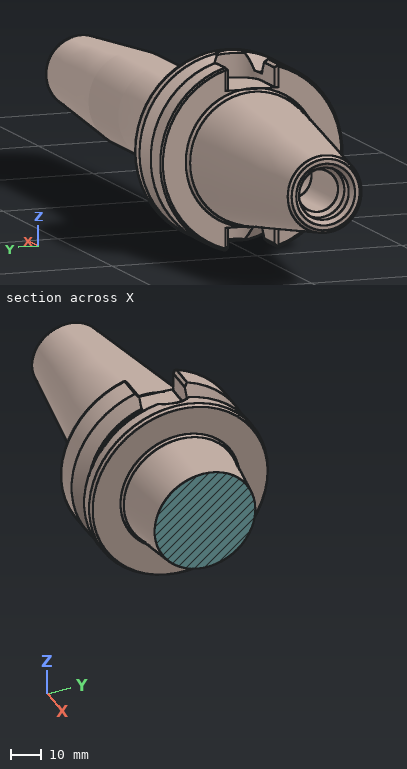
import cadquery as cq
import math

length = 225.5

taper_slope = 7 / 24 / 2
taper_start_radius = 12.6
taper_end = 64.0
taper_end_radius = taper_start_radius + taper_slope * taper_end
taper_chamfer = 1.0
collar_end = 65.8
collar_rise = 1.0

flange_start = 67.5
flange_end = 92.5
flange_diameter = 62.9
flange_radius = flange_diameter / 2
flange_start_chamfer = 0.7
flange_end_chamfer = 1.4
flange_end_chamfer_depth = 0.7
groove_center = 82.0
groove_floor_width = 3.8
groove_shelf_radius = 26.8
groove_shelf_width = 0.7
groove_radius = 26.1
groove_side_slope = math.tan(math.radians(30))
groove_shelf_run = (flange_radius - groove_shelf_radius) * groove_side_slope
groove_floor_run = (flange_radius - groove_radius) * groove_side_slope

neck_radius = 21.0
neck_step = 1.1
neck_root_radius = 20.3
nose_radius = 16.0
neck_arc_end = 147.2
nose_taper_start = 174.5
tip_radius = nose_radius - (length - nose_taper_start) * math.tan(math.radians(4.4))
tip_chamfer = 1.4
tip_chamfer_depth = 0.7

slot_width = 16.0
slot_half_width = slot_width / 2
slot_floor = 22.5
slot_tip = 88.4
slot_round_center = slot_tip - slot_half_width
slot_edge_chamfer = 1.1
slot_end_chamfer = 1.0
slot_entry_depth = 0.7
slot_clearance = 2.3
slot_height = flange_radius - slot_floor + slot_clearance

bore_mouth_radius = 10.1
counterbore_radius = 8.5
counterbore_depth = 5.6
thread_minor_radius = 7.0
bore_depth = 31.5
drill_point_depth = thread_minor_radius * math.tan(math.radians(30))


def turned_body():
    groove_left = groove_center - groove_floor_width / 2
    groove_right = groove_center + groove_floor_width / 2
    neck_start = flange_end + neck_step
    arc_run = neck_arc_end - neck_start
    arc_rise = neck_root_radius - nose_radius
    arc_radius = (arc_run**2 + arc_rise**2) / (2 * arc_rise)
    half_angle = math.asin(arc_run / arc_radius) / 2
    arc_middle = (
        neck_arc_end - arc_radius * math.sin(half_angle),
        nose_radius + arc_radius * (1 - math.cos(half_angle)),
    )
    profile = (
        cq.Workplane("XY")
        .lineTo(0, taper_start_radius - taper_chamfer)
        .lineTo(taper_chamfer, taper_start_radius + taper_slope * taper_chamfer)
        .lineTo(taper_end, taper_end_radius)
        .lineTo(collar_end, taper_end_radius)
        .lineTo(flange_start, taper_end_radius + collar_rise)
        .lineTo(flange_start, flange_radius - flange_start_chamfer)
        .lineTo(flange_start + flange_start_chamfer, flange_radius)
        .lineTo(groove_left - groove_shelf_width - groove_shelf_run, flange_radius)
        .lineTo(groove_left - groove_shelf_width, groove_shelf_radius)
        .lineTo(groove_left, groove_shelf_radius)
        .lineTo(groove_left, groove_radius)
        .lineTo(groove_right, groove_radius)
        .lineTo(groove_right + groove_floor_run, flange_radius)
        .lineTo(flange_end - flange_end_chamfer, flange_radius)
        .lineTo(flange_end, flange_radius - flange_end_chamfer_depth)
        .lineTo(flange_end, neck_radius)
        .lineTo(neck_start, neck_root_radius)
        .threePointArc(arc_middle, (neck_arc_end, nose_radius))
        .lineTo(nose_taper_start, nose_radius)
        .lineTo(length - tip_chamfer, tip_radius)
        .lineTo(length, tip_radius - tip_chamfer_depth)
        .lineTo(length, 0)
        .close()
    )
    return profile.revolve(360, (0, 0, 0), (1, 0, 0))


def drive_slot():
    """Round-ended slot at +Z, with chamfered entry, side and end edges."""
    entry_half_width = slot_half_width + slot_edge_chamfer
    pocket = (
        cq.Workplane("XY", origin=(0, 0, slot_floor))
        .moveTo(flange_start, -entry_half_width)
        .lineTo(flange_start + slot_entry_depth, -slot_half_width)
        .lineTo(slot_round_center, -slot_half_width)
        .threePointArc((slot_tip, 0), (slot_round_center, slot_half_width))
        .lineTo(flange_start + slot_entry_depth, slot_half_width)
        .lineTo(flange_start, entry_half_width)
        .close()
        .extrude(slot_height)
    )
    edge_top = math.sqrt(flange_radius**2 - entry_half_width**2)
    edge_bottom = edge_top - slot_edge_chamfer
    flare = edge_top + slot_edge_chamfer
    flare_half_width = entry_half_width + slot_edge_chamfer
    edge_chamfer = (
        cq.Workplane("YZ", origin=(flange_start, 0, 0))
        .polyline(
            [
                (-slot_half_width, edge_bottom),
                (slot_half_width, edge_bottom),
                (flare_half_width, flare),
                (-flare_half_width, flare),
            ]
        )
        .close()
        .extrude(groove_center - flange_start)
    )
    end_chamfer = (
        cq.Workplane("XY", origin=(slot_round_center, 0, flange_radius - slot_end_chamfer))
        .circle(slot_half_width)
        .workplane(offset=2 * slot_end_chamfer)
        .circle(slot_half_width + 2 * slot_end_chamfer)
        .loft()
    )
    return pocket.union(edge_chamfer).union(end_chamfer)


def threaded_bore():
    mouth_depth = bore_mouth_radius - counterbore_radius
    counterbore_run_out = counterbore_depth + counterbore_radius - thread_minor_radius
    profile = cq.Workplane("XY").polyline(
        [
            (0, 0),
            (0, bore_mouth_radius),
            (mouth_depth, counterbore_radius),
            (counterbore_depth, counterbore_radius),
            (counterbore_run_out, thread_minor_radius),
            (bore_depth, thread_minor_radius),
            (bore_depth + drill_point_depth, 0),
        ]
    )
    return profile.close().revolve(360, (0, 0, 0), (1, 0, 0))


top_slot = drive_slot()
bottom_slot = top_slot.rotate((0, 0, 0), (1, 0, 0), 180)

result = turned_body().cut(top_slot).cut(bottom_slot).cut(threaded_bore())